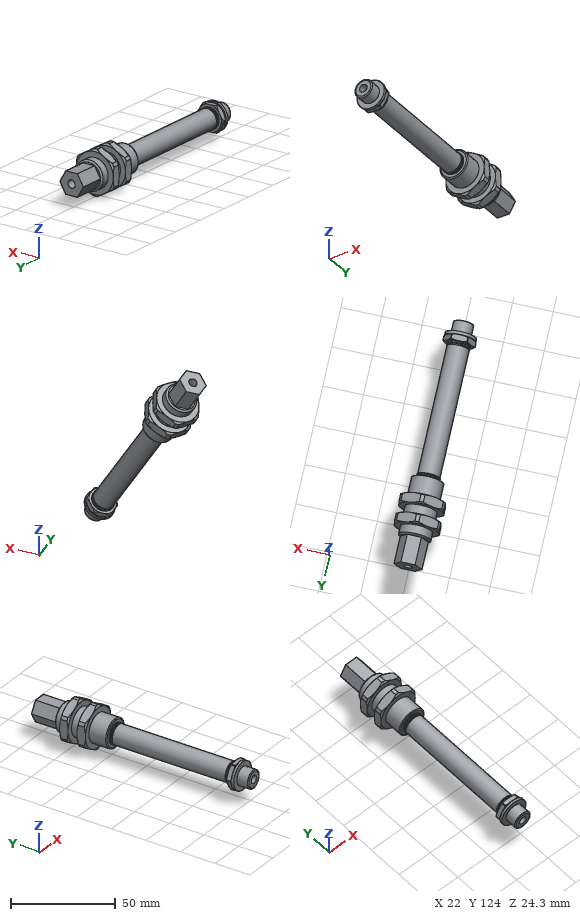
import cadquery as cq
import math

total_length = 124.0

stub_diameter = 10.0
stub_length = 6.5
stub_chamfer_radial = 0.7
stub_chamfer_axial = 0.4
flange_diameter = 15.5
flange_length = 1.5
fitting_hex_across_flats = 14.0
fitting_hex_length = 3.0
fitting_hex_tip_diameter = 16.0
fitting_hex_face_diameter = 14.3

tube_diameter = 11.0
ring_diameter = 11.5
ring_length = 1.9
ring_groove_width = 0.6
ring_groove_diameter = 11.3

body_diameter = 16.0
body_length = 30.0
body_front_chamfer_radial = 0.7
body_front_chamfer_axial = 0.4
body_rear_chamfer_radial = 1.0
body_rear_chamfer_axial = 0.7
nut_across_flats = 22.0
nut_tip_diameter = 24.3
nut_face_diameter = 22.0
nut_length = 5.0
nut_pitch = 10.0
rear_nut_setback = 5.0
nut_turn = 30.0
nut_count = 2

rod_hex_across_flats = 12.0
rod_hex_length = 14.0
bore_diameter = 4.2

hex_chamfer_angle = 30.0

flange_start = stub_length
fitting_hex_start = flange_start + flange_length
tube_start = fitting_hex_start + fitting_hex_length
rod_hex_start = total_length - rod_hex_length
body_start = rod_hex_start - body_length
rear_nut_start = rod_hex_start - rear_nut_setback - nut_length
tube_length = body_start - tube_start


def revolve_profile(points):
    """Solid of revolution about Y from (radius, station) points."""
    return cq.Workplane("XY").polyline(points).close().revolve(360, (0, 0, 0), (0, 1, 0))


def cylinder(diameter, start, length):
    radius = diameter / 2
    end = start + length
    return revolve_profile([(0, start), (radius, start), (radius, end), (0, end)])


def chamfered_cylinder(diameter, start, length, front=(0, 0), rear=(0, 0)):
    """Cylinder whose ends have (radial, axial) chamfers."""
    radius = diameter / 2
    end = start + length
    points = [(0, start), (radius - front[0], start)]
    if front[1] > 0:
        points.append((radius, start + front[1]))
    if rear[1] > 0:
        points.append((radius, end - rear[1]))
    points += [(radius - rear[0], end), (0, end)]
    return revolve_profile(points)


def hexagon(across_flats, start, length, turn=0):
    """Hexagonal prism along Y; with no turn its corners lie on the X axis."""
    across_corners = across_flats / math.cos(math.pi / 6)
    prism = (
        cq.Workplane("XZ", origin=(0, start, 0))
        .polygon(6, across_corners)
        .extrude(-length)
    )
    return prism.rotate((0, 0, 0), (0, 1, 0), turn)


def chamfered_hexagon(across_flats, start, length, tip_diameter, face_diameter, turn=0):
    """Hexagon with its corners turned down to a tip cylinder and cone-chamfered ends."""
    radial = (tip_diameter - face_diameter) / 2
    chamfer = (radial, radial * math.tan(math.radians(hex_chamfer_angle)))
    envelope = chamfered_cylinder(tip_diameter, start, length, chamfer, chamfer)
    return hexagon(across_flats, start, length, turn).intersect(envelope)


def fitting():
    stub = chamfered_cylinder(
        stub_diameter, 0, flange_start, front=(stub_chamfer_radial, stub_chamfer_axial)
    )
    flange = cylinder(flange_diameter, flange_start, flange_length)
    hexagonal_part = chamfered_hexagon(
        fitting_hex_across_flats,
        fitting_hex_start,
        fitting_hex_length,
        fitting_hex_tip_diameter,
        fitting_hex_face_diameter,
    )
    return stub.union(flange).union(hexagonal_part)


def grooved_ring(start):
    """Collar with one shallow groove around its middle, down to the groove diameter."""
    land_length = (ring_length - ring_groove_width) / 2
    front_land = cylinder(ring_diameter, start, land_length)
    groove_floor = cylinder(ring_groove_diameter, start, ring_length)
    rear_land = cylinder(ring_diameter, start + ring_length - land_length, land_length)
    return groove_floor.union(front_land).union(rear_land)


def tube():
    barrel = cylinder(tube_diameter, tube_start, tube_length)
    front_ring = grooved_ring(tube_start)
    rear_ring = grooved_ring(body_start - ring_length)
    return barrel.union(front_ring).union(rear_ring)


def body():
    barrel = chamfered_cylinder(
        body_diameter,
        body_start,
        body_length,
        front=(body_front_chamfer_radial, body_front_chamfer_axial),
        rear=(body_rear_chamfer_radial, body_rear_chamfer_axial),
    )
    for index in range(nut_count):
        nut_start = rear_nut_start - index * nut_pitch
        nut = chamfered_hexagon(
            nut_across_flats, nut_start, nut_length, nut_tip_diameter, nut_face_diameter, nut_turn
        )
        barrel = barrel.union(nut)
    return barrel


rod_end = hexagon(rod_hex_across_flats, rod_hex_start, rod_hex_length)
bore = cylinder(bore_diameter, 0, total_length)

result = fitting().union(tube()).union(body()).union(rod_end).cut(bore)
result = result.translate((0, -total_length / 2, 0))